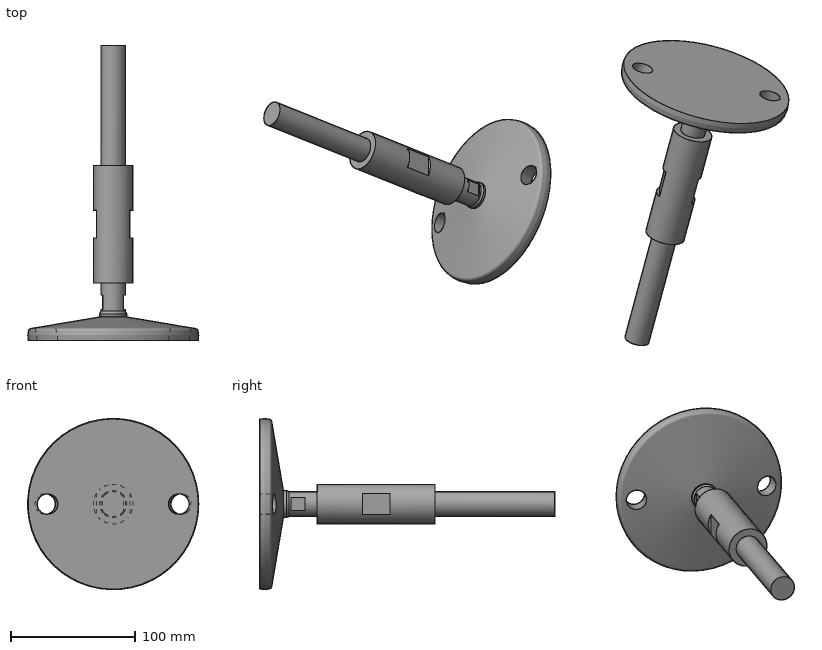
import cadquery as cq
import math


plate_radius = 69.0
rim_draft = 0.5
rim_widest_height = 4.3
plate_height = 19.3
plate_land_radius = 10.5
cone_foot_height = 9.5
shoulder_round = 2.5
rim_radius = plate_radius - rim_draft
cone_slope = math.atan2(plate_height - cone_foot_height, rim_radius - plate_land_radius)

anchor_hole_diameter = 16.5
anchor_hole_offset = 52.8

overall_height = 238.0
rod_diameter = 20.0
sleeve_diameter = 32.0
sleeve_bottom = 46.5
sleeve_top = 141.4
collar_radius = 11.0
collar_taper_top = 23.8
collar_taper_bottom = 21.7
collar_edge_round = 1.0

sleeve_flats_width = 27.0
sleeve_flats_bottom = 82.8
sleeve_flats_top = 105.0
neck_flats_width = 17.0
neck_flats_bottom = 25.2
neck_flats_top = 36.7


def revolve_about_y(profile):
    return profile.close().revolve(360, (0, 0, 0), (0, 1, 0))


def anchor_hole_cutter(side):
    """Cylinder square to the cone on the given side (-1 or 1) of the plate."""
    axis = cq.Vector(side * math.sin(cone_slope), math.cos(cone_slope), 0)
    center = cq.Vector(side * anchor_hole_offset, 0, 0)
    return cq.Solid.makeCylinder(
        anchor_hole_diameter / 2,
        2 * plate_height,
        center - axis * plate_height,
        axis,
    )


def make_base_plate():
    tangent_length = shoulder_round * math.tan((math.pi / 2 - cone_slope) / 2)
    rim_top_height = cone_foot_height - tangent_length
    arc_end_radius = rim_radius - tangent_length * math.cos(cone_slope)
    arc_end_height = cone_foot_height + tangent_length * math.sin(cone_slope)

    profile = (
        cq.Workplane("XY")
        .lineTo(rim_radius, 0)
        .lineTo(plate_radius, rim_widest_height)
        .lineTo(rim_radius, rim_top_height)
        .radiusArc((arc_end_radius, arc_end_height), -shoulder_round)
        .lineTo(plate_land_radius, plate_height)
        .lineTo(0, plate_height)
    )
    plate = revolve_about_y(profile)
    for side in (-1, 1):
        plate = plate.cut(cq.Workplane(anchor_hole_cutter(side)))
    return plate


def cut_wrench_flats(stem, width, bottom, top):
    """Cut two opposite flats, square to X, between two heights."""
    for side in (-1, 1):
        cutter = (
            cq.Workplane("XY")
            .box(sleeve_diameter, top - bottom, sleeve_diameter)
            .translate((side * (width + sleeve_diameter) / 2, (bottom + top) / 2, 0))
        )
        stem = stem.cut(cutter)
    return stem


def make_stem():
    rod_radius = rod_diameter / 2
    sleeve_radius = sleeve_diameter / 2
    profile = (
        cq.Workplane("XY")
        .moveTo(0, plate_height)
        .lineTo(collar_radius - collar_edge_round, plate_height)
        .radiusArc((collar_radius, plate_height + collar_edge_round), -collar_edge_round)
        .lineTo(collar_radius, collar_taper_bottom)
        .lineTo(rod_radius, collar_taper_top)
        .lineTo(rod_radius, sleeve_bottom)
        .lineTo(sleeve_radius, sleeve_bottom)
        .lineTo(sleeve_radius, sleeve_top)
        .lineTo(rod_radius, sleeve_top)
        .lineTo(rod_radius, overall_height)
        .lineTo(0, overall_height)
    )
    stem = revolve_about_y(profile)
    stem = cut_wrench_flats(stem, sleeve_flats_width, sleeve_flats_bottom, sleeve_flats_top)
    return cut_wrench_flats(stem, neck_flats_width, neck_flats_bottom, neck_flats_top)


base_plate = make_base_plate()
stem = make_stem()

result = cq.Compound.makeCompound([base_plate.solids().val(), stem.solids().val()])